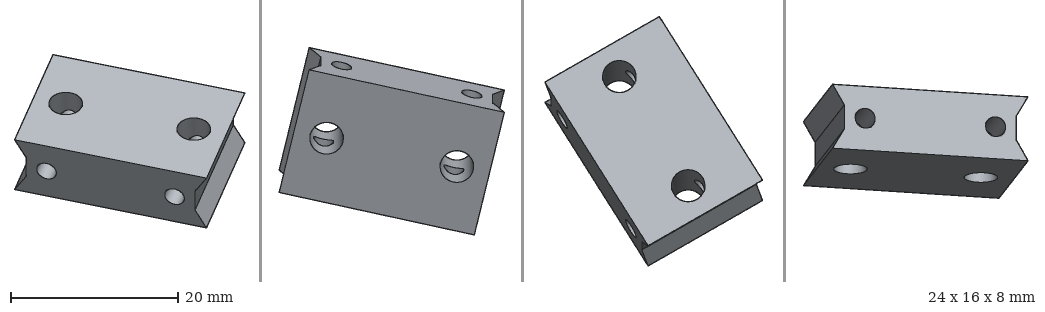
import cadquery as cq
import math

length = 24.0
width = length * 2 / 3
height = length / 3

groove_floor = height * 3 / 8
flank_angle = 60.0
flank_height = (height - groove_floor) / 2
groove_depth = flank_height / math.tan(math.radians(flank_angle))

hole_spacing = length * 2 / 3
vertical_hole_diameter = 4.0
cross_hole_diameter = 2.45
hole_positions = [(-hole_spacing / 2, 0), (hole_spacing / 2, 0)]


def end_groove(side):
    """Groove cutter for the end at +X (side = 1) or -X (side = -1)."""
    mouth_x = side * length / 2
    floor_x = side * (length / 2 - groove_depth)
    return (
        cq.Workplane("XZ")
        .moveTo(mouth_x, height / 2)
        .lineTo(floor_x, groove_floor / 2)
        .lineTo(floor_x, -groove_floor / 2)
        .lineTo(mouth_x, -height / 2)
        .close()
        .extrude(width / 2, both=True)
    )


def through_holes(plane, diameter, depth):
    """Pair of cylinders of the given total depth, normal to the plane."""
    return (
        cq.Workplane(plane)
        .pushPoints(hole_positions)
        .circle(diameter / 2)
        .extrude(depth / 2, both=True)
    )


body = cq.Workplane("XY").box(length, width, height)
for end in (-1, 1):
    body = body.cut(end_groove(end))

body = body.cut(through_holes("XY", vertical_hole_diameter, height))
result = body.cut(through_holes("XZ", cross_hole_diameter, width))